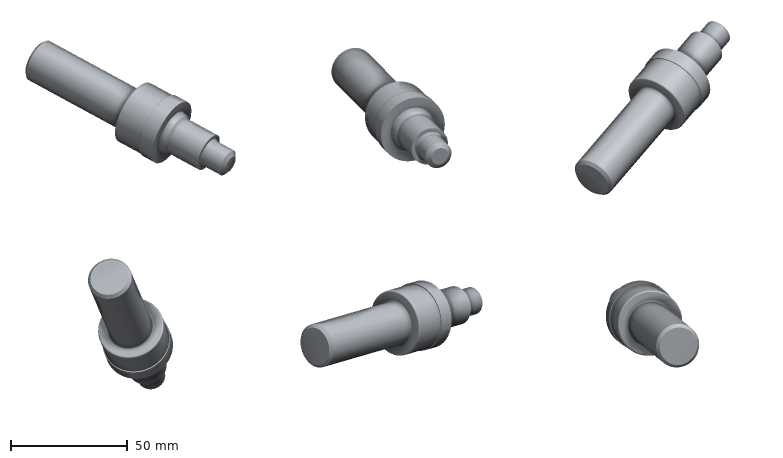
import cadquery as cq

overall_length = 101.6

shank_radius = 19.05 / 2
body_radius = 28.575 / 2
collar_radius = 29.54 / 2
journal_radius = 8.4
tip_radius = 6.0

body_start = overall_length / 2
collar_start = 64.35
collar_end = 70.8
journal_end = 90.1

shank_chamfer = 1.3
shank_root_fillet = 0.75
body_edge_fillet = 0.65

hub_base_radius = 10.15
hub_nose_radius = 9.35
hub_taper_length = 2.75
hub_chamfer_length = 0.95

tip_root_radius = 6.7
tip_root_length = 1.5
tip_chamfer_length = 1.5
tip_end_radius = 3.85

hub_nose_x = collar_end + hub_taper_length


def turned_blank():
    """Revolve the stepped half profile about X."""
    profile = (
        cq.Workplane("XZ")
        .moveTo(0, 0)
        .lineTo(0, shank_radius - shank_chamfer)
        .lineTo(shank_chamfer, shank_radius)
        .lineTo(body_start - shank_root_fillet, shank_radius)
        .radiusArc((body_start, shank_radius + shank_root_fillet), -shank_root_fillet)
        .lineTo(body_start, body_radius - body_edge_fillet)
        .radiusArc((body_start + body_edge_fillet, body_radius), body_edge_fillet)
        .lineTo(collar_start, body_radius)
        .lineTo(collar_start, collar_radius)
        .lineTo(collar_end, collar_radius)
        .lineTo(collar_end, hub_base_radius)
        .lineTo(hub_nose_x, hub_nose_radius)
        .lineTo(hub_nose_x + hub_chamfer_length, journal_radius)
        .lineTo(journal_end, journal_radius)
        .lineTo(journal_end, tip_root_radius)
        .lineTo(journal_end + tip_root_length, tip_radius)
        .lineTo(overall_length - tip_chamfer_length, tip_radius)
        .lineTo(overall_length, tip_end_radius)
        .lineTo(overall_length, 0)
        .close()
    )
    return profile.revolve(360, (0, 0, 0), (1, 0, 0))


result = turned_blank()